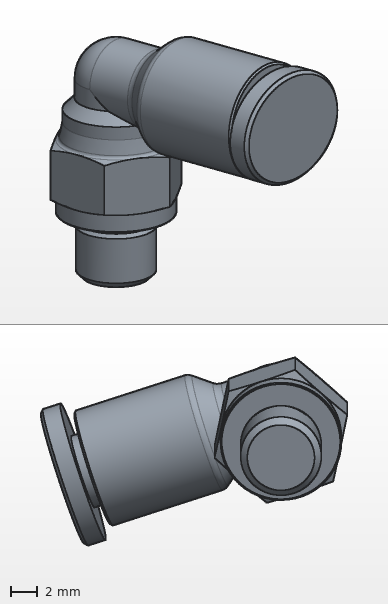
import cadquery as cq
import math


stem_bottom_z = -15.6
thread_radius = 3.0
thread_chamfer = 0.5
thread_top_z = -11.6
undercut_height = 0.3
neck_radius = 2.75
collar_bottom_z = -10.6
collar_radius = 4.5
collar_edge = 0.1

hex_sides = 6
hex_across_flats = 9.0
hex_bottom_z = -9.2
hex_top_z = -4.8
hex_bevel_radius = hex_across_flats / 2
hex_bevel_angle = math.radians(20)

shoulder_base_radius = 4.25
shoulder_radius = 4.0
shoulder_taper_top_z = -3.4
shoulder_top_z = -2.4

elbow_radius = 3.1
arm_end_x = 3.65
flare_start_x = 4.25
flare_start_radius = 3.3
flare_end_x = 5.55
flare_end_radius = 4.3
sleeve_start_x = 6.05
sleeve_radius = 4.5
sleeve_end_x = 14.75
sleeve_edge = 0.15

ring_neck_radius = 2.8
ring_start_x = 15.5
ring_end_x = 17.1
ring_half_width = 5.4
ring_half_height = 4.3
ring_edge = 0.25


def make_stem():
    """Thread, undercut neck and collar, turned about Z."""
    undercut_top_z = thread_top_z + undercut_height
    outline = (
        cq.Workplane("XZ")
        .moveTo(0, stem_bottom_z)
        .lineTo(thread_radius - thread_chamfer, stem_bottom_z)
        .lineTo(thread_radius, stem_bottom_z + thread_chamfer)
        .lineTo(thread_radius, thread_top_z)
        .lineTo(neck_radius, undercut_top_z)
        .lineTo(neck_radius, collar_bottom_z)
        .lineTo(collar_radius - collar_edge, collar_bottom_z)
        .lineTo(collar_radius, collar_bottom_z + collar_edge)
        .lineTo(collar_radius, hex_bottom_z)
        .lineTo(0, hex_bottom_z)
        .close()
    )
    return outline.revolve(360, (0, 0, 0), (0, 1, 0))


def make_nut():
    """Hexagon with corners on the X axis, its corners bevelled by a cone at each end."""
    corner_radius = hex_across_flats / 2 / math.cos(math.pi / hex_sides)
    prism = (
        cq.Workplane("XY", origin=(0, 0, hex_bottom_z))
        .polygon(hex_sides, 2 * corner_radius)
        .extrude(hex_top_z - hex_bottom_z)
    )
    slope = math.tan(hex_bevel_angle)
    bevel_height = (corner_radius - hex_bevel_radius) * slope
    bevel_envelope = (
        cq.Workplane("XZ")
        .moveTo(0, hex_bottom_z)
        .lineTo(hex_bevel_radius, hex_bottom_z)
        .lineTo(corner_radius, hex_bottom_z + bevel_height)
        .lineTo(corner_radius, hex_top_z - bevel_height)
        .lineTo(hex_bevel_radius, hex_top_z)
        .lineTo(0, hex_top_z)
        .close()
        .revolve(360, (0, 0, 0), (0, 1, 0))
    )
    return prism.intersect(bevel_envelope)


def make_shoulder():
    """Tapered shoulder blended onto the nut, narrowing at 45 degrees to the upright leg of the elbow."""
    blend_radius = hex_bevel_radius - shoulder_base_radius
    leg_base_z = shoulder_top_z + shoulder_radius - elbow_radius
    outline = (
        cq.Workplane("XZ")
        .moveTo(0, hex_top_z)
        .lineTo(hex_bevel_radius, hex_top_z)
        .radiusArc((shoulder_base_radius, hex_top_z + blend_radius), blend_radius)
        .lineTo(shoulder_radius, shoulder_taper_top_z)
        .lineTo(shoulder_radius, shoulder_top_z)
        .lineTo(elbow_radius, leg_base_z)
        .lineTo(elbow_radius, 0)
        .lineTo(0, 0)
        .close()
    )
    return outline.revolve(360, (0, 0, 0), (0, 1, 0))


def make_arm():
    """Arm turned about X: plain arm, blended flare, sleeve and release-ring neck."""
    flare_start = (flare_start_x, flare_start_radius)
    sleeve_start = (sleeve_start_x, sleeve_radius)
    flare_direction = (flare_end_x - flare_start_x, flare_end_radius - flare_start_radius)
    outline = (
        cq.Workplane("XZ")
        .moveTo(0, 0)
        .lineTo(0, elbow_radius)
        .lineTo(arm_end_x, elbow_radius)
        .spline([flare_start], [(1, 0), flare_direction], includeCurrent=True)
        .lineTo(flare_end_x, flare_end_radius)
        .spline([sleeve_start], [flare_direction, (1, 0)], includeCurrent=True)
        .lineTo(sleeve_end_x - sleeve_edge, sleeve_radius)
        .lineTo(sleeve_end_x, sleeve_radius - sleeve_edge)
        .lineTo(sleeve_end_x, ring_neck_radius)
        .lineTo(ring_start_x, ring_neck_radius)
        .lineTo(ring_start_x, 0)
        .close()
    )
    return outline.revolve(360, (0, 0, 0), (1, 0, 0))


def make_release_ring():
    """Oval plate, wider along Y, with its outer rim chamfered."""
    plate = (
        cq.Workplane("YZ", origin=(ring_start_x, 0, 0))
        .ellipse(ring_half_width, ring_half_height)
        .extrude(ring_end_x - ring_start_x)
    )
    return plate.faces(">X").edges().chamfer(ring_edge)


elbow_ball = cq.Workplane("XY").sphere(elbow_radius)

result = (
    make_stem()
    .union(make_nut())
    .union(make_shoulder())
    .union(elbow_ball)
    .union(make_arm())
    .union(make_release_ring())
)